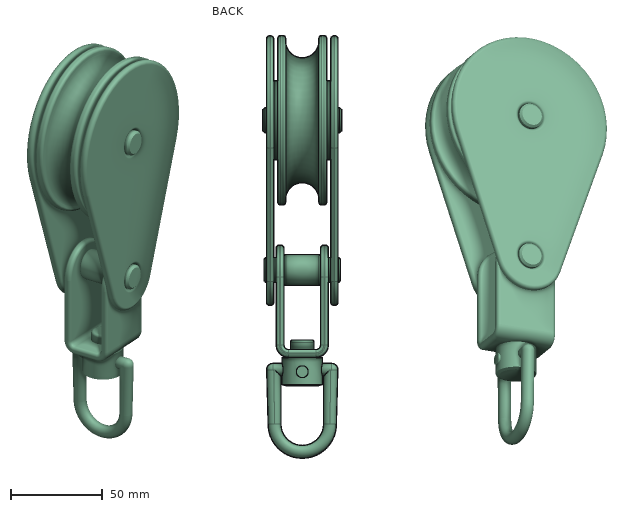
import cadquery as cq
import math


overall_height = 230.8

rivet_drop = 81.7
rivet_z = -rivet_drop

sheave_radius = 92.5 / 2
sheave_half_width = 13.4
groove_radius = 9.0
groove_floor_radius = 34.2
flange_fillet = 1.5
hub_radius = 21.7
hub_fillet = 0.7

cheek_head_radius = sheave_radius
cheek_tail_radius = 19.4
cheek_thickness = 4.2
cheek_inner_x = 15.5
cheek_fillet = 1.95
cheek_outer_x = cheek_inner_x + cheek_thickness

pin_radius = 7.0
pin_chamfer = 1.2
axle_half_length = 43.2 / 2
rivet_half_length = 21.0
shoulder_radius = 8.5
shoulder_fillet = 1.2

bracket_half_width = 14.3
bracket_half_depth = 17.5
bracket_thickness = 4.4
bracket_bend_radius = 7.0
bracket_rise = 13.5
bracket_bottom_z = -129.5
bracket_fillet = 1.8
bracket_inner_x = bracket_half_width - bracket_thickness
bracket_top_z = rivet_z + bracket_rise

barrel_radius = 11.0
barrel_height = 15.5
barrel_edge_height = 0.7
barrel_edge_inset = 2.0
stud_radius = 6.5
stud_rise = 5.3
stud_fillet = 1.4
button_radius = 3.2
button_rise = 0.7
barrel_bottom_z = bracket_bottom_z - barrel_height
barrel_middle_z = bracket_bottom_z - barrel_height / 2
stud_top_z = bracket_bottom_z + bracket_thickness + stud_rise

ring_rod_radius = 7.2 / 2
ring_bend_radius = 30.2 / 2
ring_arm_z = -136.1
ring_corner_x = 16.0
ring_arm_end_x = 7.0
ring_bend_z = sheave_radius - overall_height + ring_bend_radius + ring_rod_radius


def cylinder_x(radius, half_length, z):
    """Cylinder along X, centred on the YZ plane."""
    return cq.Workplane("YZ", origin=(-half_length, 0, z)).circle(radius).extrude(2 * half_length)


def rod(start, end, radius):
    """Round rod between two points."""
    axis = cq.Vector(*end) - cq.Vector(*start)
    return cq.Workplane(obj=cq.Solid.makeCylinder(radius, axis.Length, cq.Vector(*start), axis))


def make_sheave():
    groove_centre_radius = groove_floor_radius + groove_radius
    wheel = (
        cq.Workplane("XY")
        .moveTo(-sheave_half_width, 0)
        .lineTo(-sheave_half_width, sheave_radius)
        .lineTo(-groove_radius, sheave_radius)
        .lineTo(-groove_radius, groove_centre_radius)
        .threePointArc((0, groove_floor_radius), (groove_radius, groove_centre_radius))
        .lineTo(groove_radius, sheave_radius)
        .lineTo(sheave_half_width, sheave_radius)
        .lineTo(sheave_half_width, 0)
        .close()
        .revolve(360, (0, 0, 0), (1, 0, 0))
    )
    rim_edges = cq.selectors.RadiusNthSelector(-1)
    wheel = wheel.edges("%CIRCLE").edges(rim_edges).fillet(flange_fillet)
    hub = cylinder_x(hub_radius, cheek_inner_x, 0).faces("<X or >X").edges().fillet(hub_fillet)
    bore = cylinder_x(pin_radius, cheek_inner_x, 0)
    return wheel.union(hub).cut(bore)


def make_cheek(inner_x):
    """Teardrop plate whose straight sides are tangent to both end circles."""
    lean = math.asin((cheek_head_radius - cheek_tail_radius) / rivet_drop)
    side_y = math.cos(lean)
    side_z = -math.sin(lean)
    head_y = cheek_head_radius * side_y
    head_z = cheek_head_radius * side_z
    tail_y = cheek_tail_radius * side_y
    tail_z = rivet_z + cheek_tail_radius * side_z
    plate = (
        cq.Workplane("YZ", origin=(inner_x, 0, 0))
        .moveTo(head_y, head_z)
        .threePointArc((0, cheek_head_radius), (-head_y, head_z))
        .lineTo(-tail_y, tail_z)
        .threePointArc((0, rivet_z - cheek_tail_radius), (tail_y, tail_z))
        .close()
        .pushPoints([(0, 0), (0, rivet_z)])
        .circle(pin_radius)
        .extrude(cheek_thickness)
    )
    return plate.faces("<X or >X").edges().fillet(cheek_fillet)


def make_pin(half_length, z):
    return cylinder_x(pin_radius, half_length, z).faces("<X or >X").edges().chamfer(pin_chamfer)


def make_rivet():
    """Pin with a thicker shoulder that spaces the bracket legs apart."""
    shoulder = cylinder_x(shoulder_radius, bracket_inner_x, rivet_z)
    shoulder = shoulder.faces("<X or >X").edges().fillet(shoulder_fillet)
    return make_pin(rivet_half_length, rivet_z).union(shoulder)


def make_bracket():
    depth = 2 * bracket_half_depth
    floor_z = bracket_bottom_z + bracket_thickness
    height = bracket_top_z - bracket_bottom_z
    outer = (
        cq.Workplane("XY", origin=(0, 0, bracket_bottom_z))
        .rect(2 * bracket_half_width, depth)
        .extrude(height)
        .edges("|Y and <Z")
        .fillet(bracket_bend_radius)
    )
    inner = (
        cq.Workplane("XY", origin=(0, 0, floor_z))
        .rect(2 * bracket_inner_x, depth)
        .extrude(height)
        .edges("|Y and <Z")
        .fillet(bracket_bend_radius - bracket_thickness)
    )
    side_outline = (
        cq.Workplane("YZ", origin=(-bracket_half_width, 0, 0))
        .moveTo(-bracket_half_depth, bracket_bottom_z)
        .lineTo(bracket_half_depth, bracket_bottom_z)
        .lineTo(bracket_half_depth, bracket_top_z - bracket_half_depth)
        .threePointArc((0, bracket_top_z), (-bracket_half_depth, bracket_top_z - bracket_half_depth))
        .close()
        .extrude(2 * bracket_half_width)
    )
    bracket = outer.cut(inner).intersect(side_outline)
    bracket = bracket.edges("(<Y or >Y) or (%CIRCLE and #X)").fillet(bracket_fillet)
    rivet_holes = cylinder_x(pin_radius, bracket_half_width, rivet_z)
    stud_hole = (
        cq.Workplane("XY", origin=(0, 0, bracket_bottom_z)).circle(stud_radius).extrude(bracket_thickness)
    )
    return bracket.cut(rivet_holes).cut(stud_hole)


def make_ring():
    """Half circle, two legs that thicken upwards, and two arms pointing into the barrel."""
    ring = (
        cq.Workplane("XY", origin=(0, 0, ring_bend_z))
        .center(ring_bend_radius, 0)
        .circle(ring_rod_radius)
        .revolve(180, (-ring_bend_radius, 0, 0), (-ring_bend_radius, 1, 0))
    )
    for side in (-1, 1):
        leg_foot = (side * ring_bend_radius, 0, ring_bend_z)
        inner_top = (side * ring_bend_radius, 0, ring_arm_z)
        corner = (side * ring_corner_x, 0, ring_arm_z)
        arm_end = (side * ring_arm_end_x, 0, ring_arm_z)
        ring = ring.union(rod(leg_foot, inner_top, ring_rod_radius))
        ring = ring.union(rod(leg_foot, corner, ring_rod_radius))
        ring = ring.union(rod(corner, arm_end, ring_rod_radius))
        ring = ring.union(cq.Workplane("XY").sphere(ring_rod_radius).translate(corner))
    return ring


def make_swivel():
    barrel = (
        cq.Workplane("XY", origin=(0, 0, barrel_bottom_z))
        .circle(barrel_radius)
        .extrude(barrel_height)
        .faces("<Z")
        .chamfer(barrel_edge_height, barrel_edge_inset)
    )
    stud = (
        cq.Workplane("XY", origin=(0, 0, bracket_bottom_z))
        .circle(stud_radius)
        .extrude(stud_top_z - bracket_bottom_z)
        .faces(">Z")
        .edges()
        .fillet(stud_fillet)
    )
    button = (
        cq.Workplane("XZ", origin=(0, 0, barrel_middle_z))
        .circle(button_radius)
        .extrude(-(barrel_radius + button_rise))
    )
    swivel = barrel.union(stud).union(button)
    for side in (-1, 1):
        socket_mouth = (side * ring_corner_x, 0, ring_arm_z)
        socket_end = (side * ring_arm_end_x, 0, ring_arm_z)
        swivel = swivel.cut(rod(socket_mouth, socket_end, ring_rod_radius))
    return swivel


sheave = make_sheave()
cheeks = [make_cheek(inner_x) for inner_x in (-cheek_outer_x, cheek_inner_x)]
axle = make_pin(axle_half_length, 0)
rivet = make_rivet()
bracket = make_bracket()
swivel = make_swivel()
ring = make_ring()

bodies = [sheave, *cheeks, axle, rivet, bracket, swivel, ring]
result = cq.Compound.makeCompound([body.solids().val() for body in bodies])